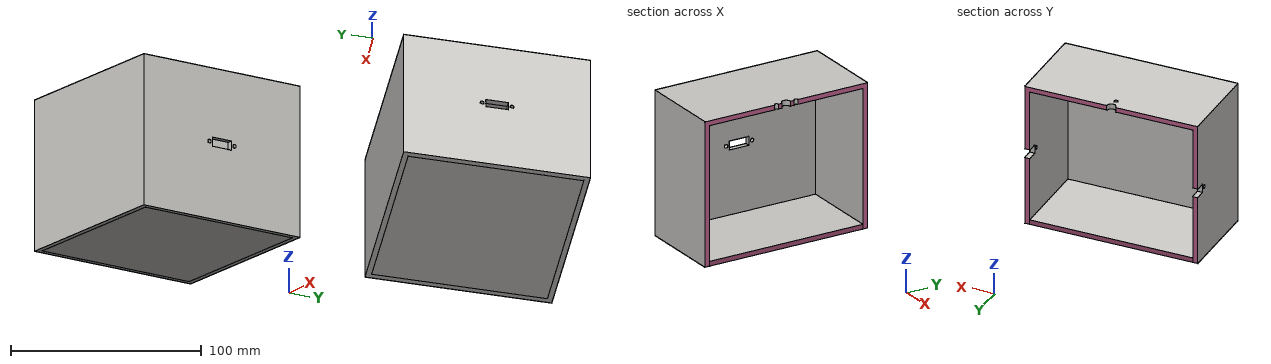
import cadquery as cq

side = 100.0
height = 83.0
wall = 3.0
inner_side = side - 2 * wall

roof_hole_diameter = 5.0
roof_screw_diameter = 2.0
roof_screw_spacing = 12.0

slot_width = 12.0
slot_height = 5.0
slot_center_z = 42.5
slot_screw_diameter = 2.0
slot_screw_spacing = 16.0


def make_shell():
    """Square box, closed on top and open underneath."""
    outer = cq.Workplane("XY").box(side, side, height, centered=(True, True, False))
    cavity = cq.Workplane("XY").box(
        inner_side, inner_side, height - wall, centered=(True, True, False)
    )
    return outer.cut(cavity)


def make_roof_holes():
    """Cutters for the central hole and its two screw holes along Y."""
    roof = cq.Workplane("XY").workplane(offset=height - wall)
    center_hole = roof.circle(roof_hole_diameter / 2).extrude(wall)
    screw_holes = (
        roof.rarray(1, roof_screw_spacing, 1, 2)
        .circle(roof_screw_diameter / 2)
        .extrude(wall)
    )
    return center_hole.union(screw_holes)


def make_connector_cutout():
    """Cutter for the connector slot and its two screw holes, running along X."""
    profile_plane = cq.Workplane("YZ", origin=(-side / 2, 0, slot_center_z))
    slot = profile_plane.rect(slot_width, slot_height).extrude(side)
    screw_holes = (
        profile_plane.rarray(slot_screw_spacing, 1, 2, 1)
        .circle(slot_screw_diameter / 2)
        .extrude(side)
    )
    return slot.union(screw_holes)


def make_housing():
    return make_shell().cut(make_roof_holes()).cut(make_connector_cutout())


def make_floor_plate():
    """Plate that closes the open underside, set flush between the walls."""
    return cq.Workplane("XY").box(inner_side, inner_side, wall, centered=(True, True, False))


housing = make_housing()
floor_plate = make_floor_plate()

result = cq.Compound.makeCompound([housing.val(), floor_plate.val()])